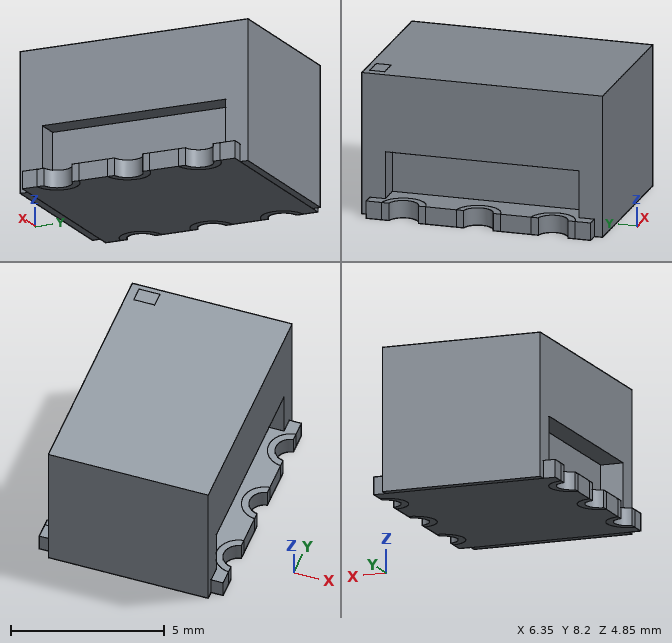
import cadquery as cq

HOUSING_WIDTH = 5.52
HOUSING_LENGTH = 8.2
HOUSING_HEIGHT = 4.85

WINDOW_LENGTH = 6.59
WINDOW_TOP = 2.205
WINDOW_DEPTH = 0.79

BOARD_WIDTH = 6.35
BOARD_LENGTH = 7.64
BOARD_THICKNESS = 0.6

TERMINALS_PER_SIDE = 3
TERMINAL_PITCH = 2.54
TERMINAL_OUTER_RADIUS = 0.755
TERMINAL_BORE_RADIUS = 0.51
TERMINAL_OVERHANG = 0.08

MARK_WIDTH = 0.72
MARK_LENGTH = 0.51
MARK_THICKNESS = 0.08
MARK_SIDE_MARGIN = 0.295
MARK_END_MARGIN = 0.18

SIDES = (-1, 1)
TERMINAL_CENTRE_X = BOARD_WIDTH / 2 + TERMINAL_OVERHANG
TERMINAL_CENTRES = [
    (side * TERMINAL_CENTRE_X, (index - (TERMINALS_PER_SIDE - 1) / 2) * TERMINAL_PITCH)
    for side in SIDES
    for index in range(TERMINALS_PER_SIDE)
]


def block(width, length, height, x=0, y=0, z=0):
    """Box centred on (x, y) with its underside at z."""
    return cq.Workplane("XY").box(width, length, height, centered=(True, True, False)).translate((x, y, z))


def make_board_blank():
    """Full rectangle of the board, before the terminals are let in."""
    return block(BOARD_WIDTH, BOARD_LENGTH, BOARD_THICKNESS)


def make_board():
    seats = cq.Workplane("XY").pushPoints(TERMINAL_CENTRES).circle(TERMINAL_OUTER_RADIUS).extrude(BOARD_THICKNESS)
    return make_board_blank().cut(seats)


def make_terminal(centre):
    """Plated ring trimmed off at the edge of the board."""
    ring = (
        cq.Workplane("XY")
        .center(*centre)
        .circle(TERMINAL_OUTER_RADIUS)
        .circle(TERMINAL_BORE_RADIUS)
        .extrude(BOARD_THICKNESS)
    )
    return ring.intersect(make_board_blank())


def make_mark():
    x = -HOUSING_WIDTH / 2 + MARK_SIDE_MARGIN + MARK_WIDTH / 2
    y = HOUSING_LENGTH / 2 - MARK_END_MARGIN - MARK_LENGTH / 2
    return block(MARK_WIDTH, MARK_LENGTH, MARK_THICKNESS, x, y, HOUSING_HEIGHT - MARK_THICKNESS)


def make_housing():
    housing = block(HOUSING_WIDTH, HOUSING_LENGTH, HOUSING_HEIGHT)
    housing = housing.cut(make_board_blank())
    for side in SIDES:
        window_x = side * (HOUSING_WIDTH - WINDOW_DEPTH) / 2
        housing = housing.cut(block(WINDOW_DEPTH, WINDOW_LENGTH, WINDOW_TOP, window_x))
    return housing.cut(make_mark())


housing = make_housing()
board = make_board()
terminals = [make_terminal(centre) for centre in TERMINAL_CENTRES]
mark = make_mark()

result = cq.Compound.makeCompound([
    housing.solids().val(),
    board.solids().val(),
    *[terminal.solids().val() for terminal in terminals],
    mark.solids().val(),
])